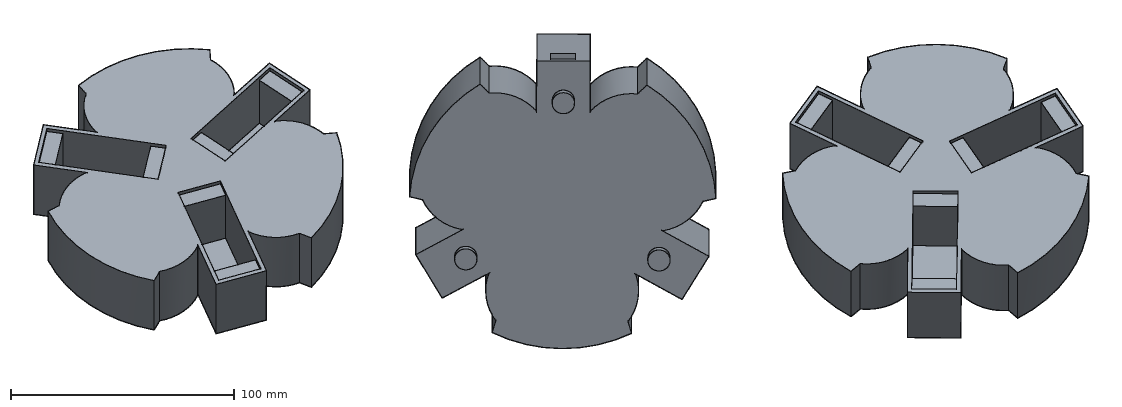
import cadquery as cq
import math

body_height = 34.5
arm_angles = (0, 120, 240)
lobe_angles = (60, 180, 300)

rim_radius = 68.6
rim_half_width = 31.2
step_x, step_y = 55.4, 29.5
bulge_x, bulge_y = 41.5, 34.2
root_x, root_y = 33, 32.9

arm_reach = 68.9
arm_width = 23.9
wall = 1.9
recess_start = 12.6
pocket_width = arm_width - 2 * wall
recess_depth = 2.0
well_start = 19.7
well_length = 40.0
floor = 2.5

opening_arm_angle = 240
opening_width = 11.1
opening_height = 7.0
opening_offset = -0.3

foot_diameter = 10.0
foot_height = 3.3
foot_circle_radius = 49.9


def turned(shape, angle):
    return shape.rotate((0, 0, 0), (0, 0, 1), angle)


def box_along_x(start, end, width, bottom, top, offset=0):
    """Box from start to end along X, centred in Y on the offset."""
    return cq.Workplane("XY").box(
        end - start, width, top - bottom, centered=(False, True, False)
    ).translate((start, offset, bottom))


def lobe():
    """Lobe pointing along +X, closed by a point on the Z axis."""
    rim_x = math.sqrt(rim_radius**2 - rim_half_width**2)
    return (
        cq.Workplane("XY")
        .lineTo(root_x, -root_y)
        .threePointArc((bulge_x, -bulge_y), (step_x, -step_y))
        .lineTo(rim_x, -rim_half_width)
        .threePointArc((rim_radius, 0), (rim_x, rim_half_width))
        .lineTo(step_x, step_y)
        .threePointArc((bulge_x, bulge_y), (root_x, root_y))
        .close()
        .extrude(body_height)
    )


def arm():
    return box_along_x(0, arm_reach, arm_width, 0, body_height)


def pocket():
    recess = box_along_x(
        recess_start, arm_reach - wall, pocket_width, body_height - recess_depth, body_height
    )
    well = box_along_x(
        well_start, well_start + well_length, pocket_width, floor, body_height
    )
    return recess.union(well)


def end_opening():
    return box_along_x(
        well_start + well_length, arm_reach, opening_width, floor, floor + opening_height, opening_offset
    )


def foot():
    return (
        cq.Workplane("XY")
        .center(foot_circle_radius, 0)
        .circle(foot_diameter / 2)
        .extrude(-foot_height)
    )


result = turned(lobe(), lobe_angles[0])
for angle in lobe_angles[1:]:
    result = result.union(turned(lobe(), angle))
for angle in arm_angles:
    result = result.union(turned(arm(), angle)).union(turned(foot(), angle))
for angle in arm_angles:
    result = result.cut(turned(pocket(), angle))
result = result.cut(turned(end_opening(), opening_arm_angle))